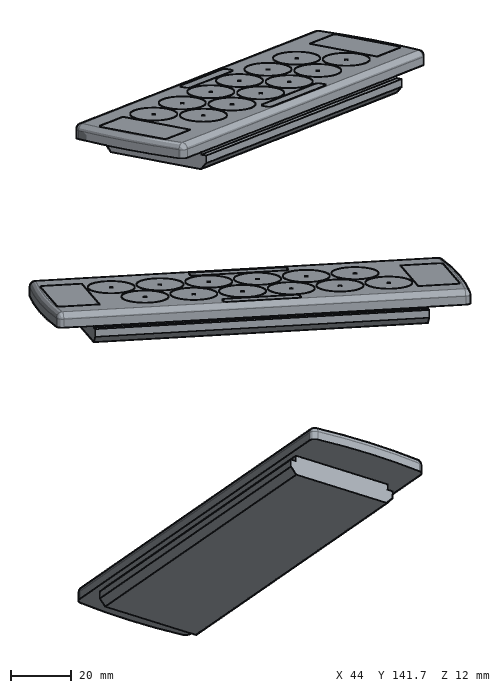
import cadquery as cq
import math

plate_width = 43.97
plate_length = 141.72
plate_thickness = 5.0
end_bow = 1.4
corner_radius = 2.1
top_edge_radius = 2.0

rail_length = 112.4
rail_offset = 1.5
lip_width = 40.2
neck_width = 36.25
neck_height = 2.0
lip_height = 5.0
rail_chamfer = 2.4
rail_base_width = 36.0

marking_depth = 0.1

field_diameter = 15.5
field_pitch = 16.4
fields_per_column = 6
column_spacing = field_pitch * math.sin(math.radians(60))
column_stagger = field_pitch / 2
center_hole_diameter = 1.0
center_hole_depth = 1.0

panel_width = 27.0
panel_inner_y = 53.6
panel_outer_y = 67.75
panel_corner_radius = 1.3

strip_width = 4.0
strip_center_x = 17.5
left_strip_length = 26.2
right_strip_length = 33.0
strip_corner_radius = 1.3

plate_bottom = lip_height + neck_height
plate_top = plate_bottom + plate_thickness


def make_plate():
    half_width = plate_width / 2
    half_length = plate_length / 2
    corner_y = half_length - end_bow
    plate = (
        cq.Workplane("XY", origin=(0, 0, plate_bottom))
        .moveTo(-half_width, -corner_y)
        .threePointArc((0, -half_length), (half_width, -corner_y))
        .lineTo(half_width, corner_y)
        .threePointArc((0, half_length), (-half_width, corner_y))
        .close()
        .extrude(plate_thickness)
    )
    plate = plate.edges("|Z").fillet(corner_radius)
    return plate.faces(">Z").edges().fillet(top_edge_radius)


def make_rail():
    right_side = [
        (rail_base_width / 2, 0),
        (lip_width / 2, rail_chamfer),
        (lip_width / 2, lip_height),
        (neck_width / 2, lip_height),
        (neck_width / 2, plate_bottom),
    ]
    left_side = [(-x, z) for x, z in reversed(right_side)]
    return (
        cq.Workplane("XZ", origin=(rail_offset, 0, 0))
        .polyline(right_side + left_side)
        .close()
        .extrude(rail_length / 2, both=True)
    )


def field_centers():
    centers = []
    for side in (-1, 1):
        for row in range(fields_per_column):
            row_offset = (row - (fields_per_column - 1) / 2) * field_pitch
            centers.append((side * column_spacing / 2, row_offset + side * column_stagger / 2))
    return centers


def round_cutter(diameter, depth):
    return (
        cq.Workplane("XY", origin=(0, 0, plate_top))
        .pushPoints(field_centers())
        .circle(diameter / 2)
        .extrude(-depth)
    )


def rectangle_cutter(x, y, width, length):
    return (
        cq.Workplane("XY", origin=(x, y, plate_top))
        .rect(width, length)
        .extrude(-marking_depth)
    )


def panel_cutter(side):
    center_y = side * (panel_inner_y + panel_outer_y) / 2
    panel = rectangle_cutter(0, center_y, panel_width, panel_outer_y - panel_inner_y)
    outer_face = ">Y" if side > 0 else "<Y"
    return panel.faces(outer_face).edges("|Z").fillet(panel_corner_radius)


def strip_cutter(x, length):
    strip = rectangle_cutter(x, 0, strip_width, length)
    return strip.edges("|Z").fillet(strip_corner_radius)


result = make_plate().union(make_rail())
result = result.cut(round_cutter(field_diameter, marking_depth))
result = result.cut(round_cutter(center_hole_diameter, center_hole_depth))
for end in (-1, 1):
    result = result.cut(panel_cutter(end))
result = result.cut(strip_cutter(-strip_center_x, left_strip_length))
result = result.cut(strip_cutter(strip_center_x, right_strip_length))